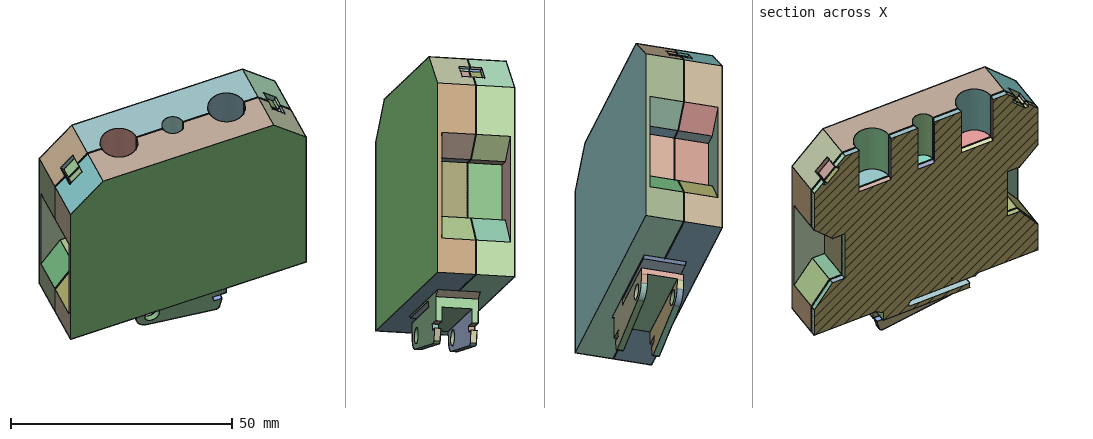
import cadquery as cq

width = 18.0
length = 58.0
total_height = 63.6
foot_height = 11.5
housing_height = total_height - foot_height
corner_chamfer = 8.0

groove_width = 0.1
groove_depth = 0.25

wire_screw_hole_diameter = 8.5
wire_screw_hole_offset = 13.2
center_hole_diameter = 4.95
hole_depth = 12.7

entry_width = 15.95
entry_bottom = 8.0
entry_shelf = 14.25
entry_back_top = 27.85
entry_top = 32.6
entry_ramp_depth = 4.7
entry_depth = 7.9

latch_width = 5.3
latch_length = 4.3
latch_depth = 1.2
latch_lip = 0.6

foot_width = 9.9
sheet_thickness = 1.45
plate_thickness = 0.6
plate_rear = 13.0
plate_front = -13.5
plate_front_bevel = 0.7

neck_rear = 11.05
neck_bevel_height = 1.2
slot_end = 4.4
slot_floor = 2.1
slot_fillet = 1.0

notch_top = -6.8
notch_bottom = -8.25
notch_top_end = 7.7
notch_bottom_end = 8.1

toe_tip = (10.05, notch_bottom)
toe_corner_start = (9.35, -11.05)
toe_corner_end = (8.45, -foot_height)
toe_corner_radius = 1.15

arm_front = -11.3
arm_front_straight_end = -3.75
arm_corner_start = (-8.25, -8.9)
arm_corner_middle = (-10.0, -8.15)
arm_corner_end = (-11.05, -6.05)

pivot_hole_diameter = 3.6
pivot_hole_y = -7.2
pivot_hole_z = -6.0


def extrude_across(sketch, across):
    """Extrude a YZ outline to the given width, centred on X = 0."""
    return sketch.extrude(across / 2, both=True)


def both_ends(cutter):
    """Join a feature at the -Y end with its mirror image at the +Y end."""
    return cutter.union(cutter.mirror("XZ"))


def make_block():
    outline = cq.Workplane("YZ").rect(length, housing_height)
    block = extrude_across(outline, width).translate((0, 0, housing_height / 2))
    return block.edges("|X and >Z").chamfer(corner_chamfer)


def make_top_holes():
    mouth = cq.Workplane("XY").workplane(offset=housing_height)
    places = [(0, -wire_screw_hole_offset), (0, wire_screw_hole_offset)]
    wire_screw_holes = mouth.pushPoints(places).circle(wire_screw_hole_diameter / 2).extrude(-hole_depth)
    center_hole = mouth.circle(center_hole_diameter / 2).extrude(-hole_depth)
    return wire_screw_holes.union(center_hole)


def make_wire_entries():
    """Cut a recess with a ramp and shelf below and a 45-degree edge on its ceiling."""
    end_face = -length / 2
    ramp_end = end_face + entry_ramp_depth
    back_wall = end_face + entry_depth
    ceiling_edge = end_face + entry_top - entry_back_top
    outline = cq.Workplane("YZ").polyline(
        [
            (end_face, entry_bottom),
            (ramp_end, entry_shelf),
            (back_wall, entry_shelf),
            (back_wall, entry_back_top),
            (ceiling_edge, entry_back_top),
            (end_face, entry_top),
        ]
    ).close()
    return both_ends(extrude_across(outline, entry_width))


def make_latch_pockets():
    """Cut a mouth through the lip, then a chamber whose sloping ends undercut the lip."""
    slope_section = cq.Plane(
        origin=(0, -(length - corner_chamfer) / 2, housing_height - corner_chamfer / 2),
        xDir=(0, 1, 1),
        normal=(1, 0, 0),
    )
    half_mouth = latch_length / 2
    half_chamber = half_mouth + latch_depth - latch_lip
    outline = cq.Workplane(slope_section).polyline(
        [
            (-half_mouth, 0),
            (-half_mouth, -latch_lip),
            (-half_chamber, -latch_lip),
            (-half_mouth, -latch_depth),
            (half_mouth, -latch_depth),
            (half_chamber, -latch_lip),
            (half_mouth, -latch_lip),
            (half_mouth, 0),
        ]
    ).close()
    return both_ends(extrude_across(outline, latch_width))


def cut_parting_groove(housing):
    """Replace a thin middle slice with the same slice set back along its whole outline."""
    middle_slice = cq.Workplane("XY").box(groove_width, 2 * length, 3 * housing_height)
    section = housing.intersect(middle_slice).faces("<X").wires().val()
    core = (
        cq.Workplane("YZ", origin=(-groove_width / 2, 0, 0))
        .add(section)
        .toPending()
        .offset2D(-groove_depth, "intersection")
        .extrude(groove_width)
    )
    return housing.cut(middle_slice).union(core)


def make_foot():
    outline = (
        cq.Workplane("YZ")
        .moveTo(plate_rear, 0)
        .lineTo(neck_rear, -neck_bevel_height)
        .lineTo(neck_rear, notch_top)
        .lineTo(notch_top_end, notch_top)
        .lineTo(notch_bottom_end, notch_bottom)
        .lineTo(*toe_tip)
        .lineTo(*toe_corner_start)
        .radiusArc(toe_corner_end, toe_corner_radius)
        .lineTo(*arm_corner_start)
        .threePointArc(arm_corner_middle, arm_corner_end)
        .lineTo(arm_front, arm_front_straight_end)
        .lineTo(arm_front, -slot_floor)
        .lineTo(slot_end, -slot_floor)
        .lineTo(slot_end, -plate_thickness - slot_fillet)
        .radiusArc((slot_end - slot_fillet, -plate_thickness), -slot_fillet)
        .lineTo(plate_front + plate_front_bevel, -plate_thickness)
        .lineTo(plate_front, 0)
        .close()
    )
    foot = extrude_across(outline, foot_width)
    channel = (
        cq.Workplane("XY")
        .workplane(offset=-slot_floor - sheet_thickness)
        .rect(foot_width - 2 * sheet_thickness, 2 * length)
        .extrude(-foot_height)
    )
    pivot = cq.Workplane("YZ").center(pivot_hole_y, pivot_hole_z).circle(pivot_hole_diameter / 2)
    return foot.cut(channel).cut(extrude_across(pivot, foot_width))


housing = make_block().cut(make_top_holes()).cut(make_wire_entries()).cut(make_latch_pockets())
result = cut_parting_groove(housing).union(make_foot())